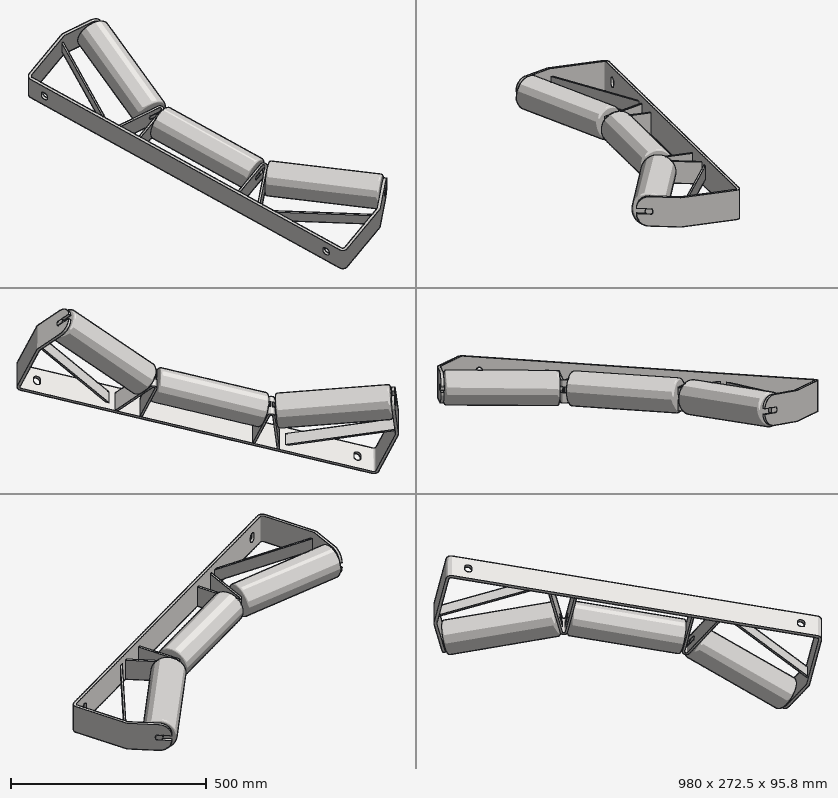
import cadquery as cq
import math


FRAME_LENGTH = 980.0
FRAME_HEIGHT = 80.0
FRAME_THICKNESS = 8.0
BEND_RADIUS = 14.0
WALL_LENGTH = 164.0
ARM_LENGTH = 115.0
ARM_TIP_RADIUS = 33.0
TROUGH_ANGLE = 25.0
MOUNT_SLOT_SPACING = 868.0
MOUNT_SLOT_WIDTH = 19.0
MOUNT_SLOT_HEIGHT = 27.0

ROLLER_DIAMETER = 90.0
ROLLER_LENGTH = 294.0
ROLLER_EDGE_FILLET = 6.0
ROLLER_GAP = 3.0
AXLE_DIAMETER = 20.0
AXLE_FLAT_WIDTH = 14.0
CENTRE_ROLLER_Y = 101.0
CENTRE_ROLLER_DROP = 6.0
SIDE_ROLLER_REACH = 82.0

SLOT_CLEARANCE = 0.5
SLOT_WIDTH = AXLE_FLAT_WIDTH + 2 * SLOT_CLEARANCE
SLOT_FLOOR_RADIUS = AXLE_DIAMETER / 2 + SLOT_CLEARANCE

BRACKET_HEIGHT = 60.0
BRACKET_THICKNESS = 6.0
BRACKET_TOP = 130.0
BRACKET_BEND_RADIUS = 9.0

BRACE_ANGLE = 31.5
BRACE_THICKNESS = 5.0
BRACE_HEIGHT = 37.0
BRACE_WALL_Y = 157.0

HALF_LENGTH = FRAME_LENGTH / 2
FRAME_BOTTOM = -FRAME_HEIGHT / 2
BRACKET_MID_Z = FRAME_BOTTOM + BRACKET_HEIGHT / 2
SUPPORT_DISTANCE = ROLLER_LENGTH / 2 + ROLLER_GAP
TILT = math.radians(TROUGH_ANGLE)
ACROSS = cq.Vector(math.cos(TILT), -math.sin(TILT), 0)
ALONG = cq.Vector(math.sin(TILT), math.cos(TILT), 0)
UP = cq.Vector(0, 0, 1)
LEFT_BEND = cq.Vector(-HALF_LENGTH, WALL_LENGTH, 0)
ARM_SEAT = LEFT_BEND + ALONG * SIDE_ROLLER_REACH + ACROSS * FRAME_THICKNESS
BRACKET_SEAT = ARM_SEAT + ACROSS * (2 * SUPPORT_DISTANCE) + UP * -CENTRE_ROLLER_DROP
CENTRE_SEAT = cq.Vector(-SUPPORT_DISTANCE, CENTRE_ROLLER_Y, -CENTRE_ROLLER_DROP)


def axle_slot(seat, axis, opening, plate_thickness, length):
    """Cutter for an axle slot through a plate.

    The plate face lies at seat, its thickness extends along axis, and the slot runs from
    the axle towards opening over the given length.
    """
    plane = cq.Plane(origin=seat.toTuple(), xDir=opening.toTuple(), normal=axis.toTuple())
    parallel_sides = (
        cq.Workplane(plane)
        .center((length - SLOT_FLOOR_RADIUS) / 2, 0)
        .rect(length + SLOT_FLOOR_RADIUS, SLOT_WIDTH)
        .extrude(plate_thickness)
    )
    rounded_floor = (
        cq.Workplane(plane)
        .moveTo(length, SLOT_FLOOR_RADIUS)
        .lineTo(0, SLOT_FLOOR_RADIUS)
        .threePointArc((-SLOT_FLOOR_RADIUS, 0), (0, -SLOT_FLOOR_RADIUS))
        .lineTo(length, -SLOT_FLOOR_RADIUS)
        .close()
        .extrude(plate_thickness)
    )
    return parallel_sides.intersect(rounded_floor)


def make_frame():
    """Bent strip with rounded arm tips, axle slots in the arms and slots in the base bar."""
    inner_half = HALF_LENGTH - FRAME_THICKNESS
    inner_bend_y = WALL_LENGTH - FRAME_THICKNESS * math.tan(TILT / 2)
    outer_tip = LEFT_BEND + ALONG * ARM_LENGTH
    inner_tip = outer_tip + ACROSS * FRAME_THICKNESS
    left_half = [
        (0, 0),
        (-HALF_LENGTH, 0),
        (-HALF_LENGTH, WALL_LENGTH),
        (outer_tip.x, outer_tip.y),
        (inner_tip.x, inner_tip.y),
        (-inner_half, inner_bend_y),
        (-inner_half, FRAME_THICKNESS),
        (0, FRAME_THICKNESS),
    ]
    half = cq.Workplane("XY", origin=(0, 0, FRAME_BOTTOM)).polyline(left_half).close().extrude(FRAME_HEIGHT)
    inner_radius = BEND_RADIUS - FRAME_THICKNESS
    for x, y, radius in [
        (-HALF_LENGTH, 0, BEND_RADIUS),
        (-HALF_LENGTH, WALL_LENGTH, BEND_RADIUS),
        (-inner_half, FRAME_THICKNESS, inner_radius),
        (-inner_half, inner_bend_y, inner_radius),
    ]:
        half = half.edges(cq.selectors.NearestToPointSelector((x, y, 0))).fillet(radius)
    tip_middle = (outer_tip + inner_tip) * 0.5
    for side in (-1, 1):
        corner = (tip_middle.x, tip_middle.y, side * FRAME_HEIGHT / 2)
        half = half.edges(cq.selectors.NearestToPointSelector(corner)).fillet(ARM_TIP_RADIUS)

    half = half.cut(axle_slot(ARM_SEAT, ACROSS * -1, ALONG, FRAME_THICKNESS, ARM_LENGTH))
    mount_slot = (
        cq.Workplane("XZ", origin=(-MOUNT_SLOT_SPACING / 2, 0, 0))
        .slot2D(MOUNT_SLOT_HEIGHT, MOUNT_SLOT_WIDTH, 90)
        .extrude(-FRAME_THICKNESS)
    )
    half = half.cut(mount_slot)
    return half.union(half.mirror("YZ")).solids().val()


def make_left_bracket():
    """Folded strip with an inclined leg for the side roller and an upright leg for the centre roller."""
    foot_y = FRAME_THICKNESS
    upright_x = CENTRE_SEAT.x
    inner_top = BRACKET_TOP - BRACKET_THICKNESS
    leg_width = BRACKET_THICKNESS / math.cos(TILT)

    def leg_x(y):
        """X of the roller side of the inclined leg at a given Y."""
        return BRACKET_SEAT.x + (y - BRACKET_SEAT.y) * math.tan(TILT)

    outline = [
        (leg_x(foot_y), foot_y),
        (leg_x(BRACKET_TOP), BRACKET_TOP),
        (upright_x, BRACKET_TOP),
        (upright_x, foot_y),
        (upright_x - BRACKET_THICKNESS, foot_y),
        (upright_x - BRACKET_THICKNESS, inner_top),
        (leg_x(inner_top) + leg_width, inner_top),
        (leg_x(foot_y) + leg_width, foot_y),
    ]
    base_plane = cq.Workplane("XY", origin=(0, 0, FRAME_BOTTOM))
    bracket = base_plane.polyline(outline).close().extrude(BRACKET_HEIGHT)
    inner_radius = BRACKET_BEND_RADIUS - BRACKET_THICKNESS
    for index, radius in [
        (1, BRACKET_BEND_RADIUS),
        (2, BRACKET_BEND_RADIUS),
        (5, inner_radius),
        (6, inner_radius),
    ]:
        corner = (*outline[index], BRACKET_MID_Z)
        bracket = bracket.edges(cq.selectors.NearestToPointSelector(corner)).fillet(radius)

    outwards = cq.Vector(-1, 0, 0)
    away_from_base = cq.Vector(0, 1, 0)
    bracket = bracket.cut(axle_slot(BRACKET_SEAT, ACROSS, ALONG, BRACKET_THICKNESS, BRACKET_TOP))
    bracket = bracket.cut(axle_slot(CENTRE_SEAT, outwards, away_from_base, BRACKET_THICKNESS, BRACKET_TOP))
    return bracket.solids().val()


def make_left_brace():
    """Inclined flat bar between the side wall and the base bar, at the mid-height of the frame."""
    wall_x = -HALF_LENGTH + FRAME_THICKNESS
    slope = math.radians(BRACE_ANGLE)
    run = (BRACE_WALL_Y - FRAME_THICKNESS) / math.tan(slope)
    cut_along_wall = BRACE_THICKNESS / math.cos(slope)
    cut_along_base = BRACE_THICKNESS / math.sin(slope)
    outline = [
        (wall_x, BRACE_WALL_Y),
        (wall_x + run, FRAME_THICKNESS),
        (wall_x + run - cut_along_base, FRAME_THICKNESS),
        (wall_x, BRACE_WALL_Y - cut_along_wall),
    ]
    brace = cq.Workplane("XY", origin=(0, 0, -BRACE_HEIGHT / 2)).polyline(outline).close()
    return brace.extrude(BRACE_HEIGHT).solids().val()


def make_roller(start_seat, end_seat, start_plate, end_plate):
    """Roller between two seats; its flattened axle ends reach through both plates."""
    axis = end_seat - start_seat
    span = axis.Length
    direction = axis.normalized()
    sideways = direction.cross(UP)
    plane = cq.Plane(origin=start_seat.toTuple(), xDir=sideways.toTuple(), normal=direction.toTuple())
    shell = (
        cq.Workplane(plane)
        .workplane(offset=(span - ROLLER_LENGTH) / 2)
        .circle(ROLLER_DIAMETER / 2)
        .extrude(ROLLER_LENGTH)
        .edges()
        .fillet(ROLLER_EDGE_FILLET)
    )
    axle_length = start_plate + span + end_plate
    axle_work = cq.Workplane(plane).workplane(offset=-start_plate)
    axle = axle_work.circle(AXLE_DIAMETER / 2).extrude(axle_length)
    flats = axle_work.rect(AXLE_DIAMETER, AXLE_FLAT_WIDTH).extrude(axle_length)
    return shell.union(axle.intersect(flats)).solids().val()


frame = make_frame()
left_bracket = make_left_bracket()
left_brace = make_left_brace()
left_roller = make_roller(ARM_SEAT, BRACKET_SEAT, FRAME_THICKNESS, BRACKET_THICKNESS)
centre_roller = make_roller(
    CENTRE_SEAT,
    CENTRE_SEAT + cq.Vector(2 * SUPPORT_DISTANCE, 0, 0),
    BRACKET_THICKNESS,
    BRACKET_THICKNESS,
)

bodies = [frame, centre_roller]
for left_body in (left_bracket, left_brace, left_roller):
    bodies.append(left_body)
    bodies.append(left_body.mirror("YZ"))

result = cq.Compound.makeCompound(bodies)